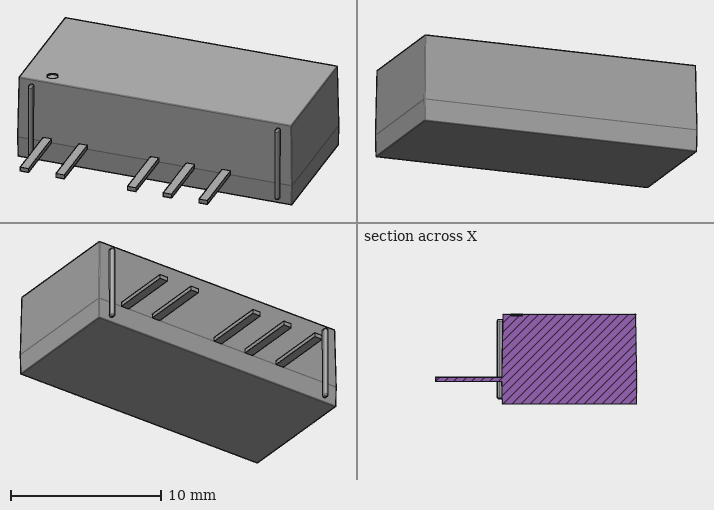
import cadquery as cq

body_length = 19.5
body_depth = 9.0
body_height = 6.0
parting_height = 1.5
draft_angle = 1.0
edge_radius = 0.05

pin_pitch = 2.54
pin_slots = (-3, -2, 0, 1, 2)
pin_width = 0.6
pin_thickness = 0.3
pin_projection = 4.4

rib_spacing = 17.5
rib_width = 0.3
rib_projection = 0.3
rib_end_gap = 0.35
rib_end_radius = 0.14

dot_diameter = 0.75
dot_depth = 0.1
dot_inset = 1.0

root_depth = 0.5

front_y = -body_depth / 2


def make_half(height):
    """Drafted block growing from the parting plane, with rounded outer edges."""
    half = (
        cq.Workplane("XY")
        .rect(body_length, body_depth)
        .extrude(height, taper=draft_angle)
    )
    half = half.edges("not #Z").fillet(edge_radius)
    return half.faces(">Z").edges().fillet(edge_radius)


def make_body():
    """Cover above the parting plane and base below it."""
    cover = make_half(body_height - parting_height)
    base = make_half(parting_height).mirror("XY")
    return cover.union(base).translate((0, 0, parting_height))


def make_pin(x):
    """Flat terminal pin leaving the front face just above the parting plane."""
    pin = cq.Workplane("XY").box(
        pin_width, pin_projection + root_depth, pin_thickness, centered=(True, False, False)
    )
    return pin.translate((x, front_y - pin_projection, parting_height))


def make_rib(x):
    """Upright standoff rib with a half-round front and rounded ends."""
    half_width = rib_width / 2
    tip_y = front_y - rib_projection
    round_start_y = tip_y + half_width
    root_y = front_y + root_depth
    rib = (
        cq.Workplane("XY", origin=(x, 0, rib_end_gap))
        .moveTo(-half_width, root_y)
        .lineTo(-half_width, round_start_y)
        .threePointArc((0, tip_y), (half_width, round_start_y))
        .lineTo(half_width, root_y)
        .close()
        .extrude(body_height - 2 * rib_end_gap)
    )
    return rib.faces("<Z or >Z").edges("not >Y").fillet(rib_end_radius)


def make_dot():
    """Shallow round recess marking the first pin."""
    return (
        cq.Workplane("XY", origin=(0, 0, body_height - dot_depth))
        .center(pin_slots[0] * pin_pitch, front_y + dot_inset)
        .circle(dot_diameter / 2)
        .extrude(dot_depth)
    )


result = make_body().cut(make_dot())
for slot in pin_slots:
    result = result.union(make_pin(slot * pin_pitch))
for rib_x in (-rib_spacing / 2, rib_spacing / 2):
    result = result.union(make_rib(rib_x))